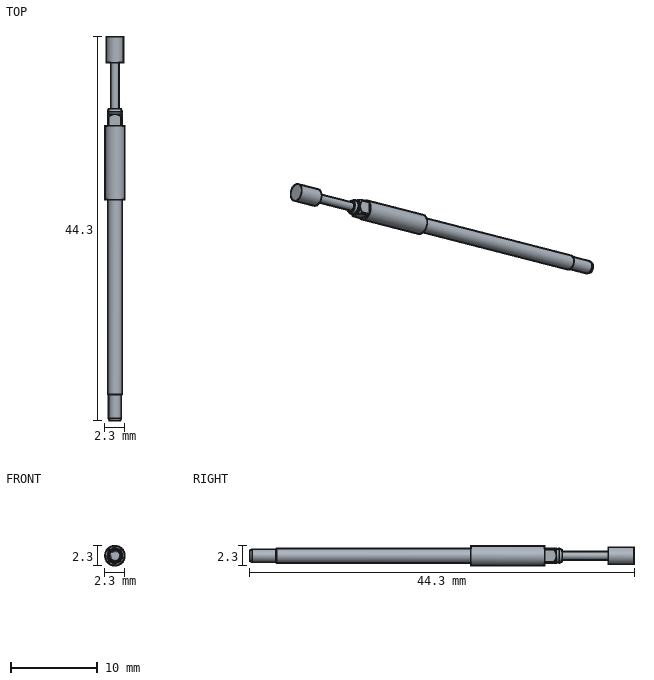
import cadquery as cq

collar_dia = 2.3
head_dia = 2.0
plunger_dia = 1.0
tube_dia = 1.7
tail_dia = 1.5
groove_dia = 1.5
ring_dia = 1.7
ring_front_dia = 1.4

neck_round_dia = 2.2
neck_across_flats = 1.7
neck_front_dia = 1.7

total_length = 44.3
head_length = 3.0
plunger_length = 5.3
ring_front_length = 0.35
ring_back_length = 0.3
neck_taper_length = 0.25
neck_length = 1.35
collar_length = 8.5
tail_length = 3.0

tail_chamfer_length = 0.3
tail_tip_dia = 1.25
tube_end_chamfer = 0.1

tube_start = tail_length
head_start = total_length - head_length
plunger_start = head_start - plunger_length
ring_crest = plunger_start - ring_front_length
neck_end = ring_crest - ring_back_length
collar_end = neck_end - neck_length
collar_start = collar_end - collar_length


def rod(diameter, start, end):
    """Round rod along Y between two stations."""
    return cq.Workplane("XZ", origin=(0, end, 0)).circle(diameter / 2).extrude(end - start)


def revolved(stations):
    """Solid of revolution about Y through (diameter, station) pairs."""
    outline = [(diameter / 2, station) for diameter, station in stations]
    first_station = stations[0][1]
    last_station = stations[-1][1]
    points = [(0, first_station)] + outline + [(0, last_station)]
    return cq.Workplane("XY").polyline(points).close().revolve(360, (0, 0, 0), (0, 1, 0))


def make_tail():
    """Tail pin with a chamfered tip."""
    return revolved([
        (tail_tip_dia, 0),
        (tail_dia, tail_chamfer_length),
        (tail_dia, tube_start),
    ])


def make_tube():
    """Long barrel with a small chamfer at its tail end."""
    return revolved([
        (tube_dia - 2 * tube_end_chamfer, tube_start),
        (tube_dia, tube_start + tube_end_chamfer),
        (tube_dia, collar_start),
    ])


def make_neck():
    """Square neck with rounded corners and a tapered end."""
    blank = revolved([
        (neck_round_dia, collar_end),
        (neck_round_dia, neck_end - neck_taper_length),
        (neck_front_dia, neck_end),
    ])
    square = (
        cq.Workplane("XZ", origin=(0, neck_end, 0))
        .rect(neck_across_flats, neck_across_flats)
        .extrude(neck_length)
    )
    return blank.intersect(square)


def make_ring():
    """Double-tapered ring at the mouth of the barrel."""
    return revolved([
        (groove_dia, neck_end),
        (ring_dia, ring_crest),
        (ring_front_dia, plunger_start),
    ])


result = (
    make_tail()
    .union(make_tube())
    .union(rod(collar_dia, collar_start, collar_end))
    .union(make_neck())
    .union(make_ring())
    .union(rod(plunger_dia, plunger_start, head_start))
    .union(rod(head_dia, head_start, total_length))
)